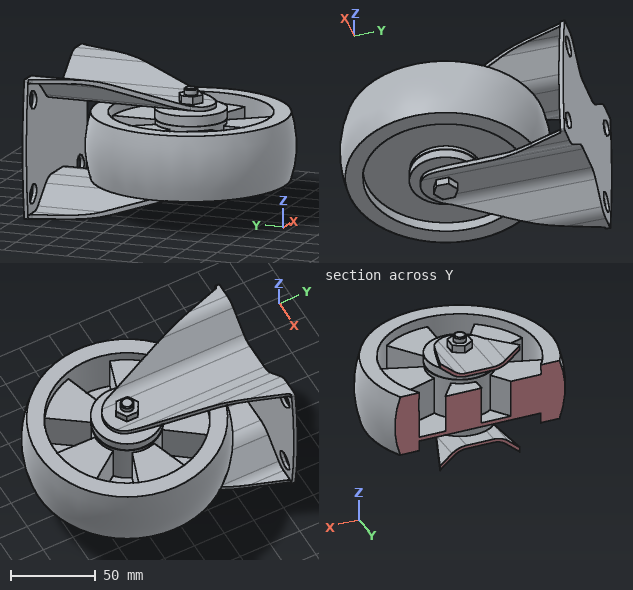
import cadquery as cq
import math


WHEEL_RADIUS = 62.5
RIM_EDGE_RADIUS = 59.4
WHEEL_WIDTH = 40.0
RECESS_RADIUS = 98.0 / 2
RECESS_DEPTH = 6.6
FLANGE_RADIUS = 43.0 / 2
FLANGE_SPAN = 45
FLANGE_THICKNESS = 6.3
HUB_RADIUS = 21.2
POCKET_COUNT = 5
POCKET_HALF_ANGLE = 17.3
POCKET_APEX_OFFSET = 2.2
WEB_THICKNESS = 3

SHEET = 2.5
OVERALL_LENGTH = 150
BRACKET_HEIGHT = 85.0
PLATE_BACK_Y = OVERALL_LENGTH - WHEEL_RADIUS
PLATE_FRONT_Y = PLATE_BACK_Y - SHEET
PLATE_MID_WIDTH = 100.0
PLATE_END_WIDTH = 94.5
PLATE_CORNER_RADIUS = 1.0
LEG_TIP_RADIUS = 15
LEG_ROOT_HALF_WIDTH = 46.2
LEG_ROOT_FILLET = 2.0
SPACER_LENGTH = 1.0
VALLEY_HALF_WIDTH = 8.8
BEND_START_X = 37.2
BEND_ANGLE = 40
SLOT_X = 38.8
SLOT_Z = 28.6
SLOT_WIDTH = 9.3
SLOT_LENGTH = 12.2
SLOT_ANGLE = 45

BOLT_DIAMETER = 8.0
BOLT_TOP_Z = 34.6
BOLT_CHAMFER = 0.8
SPACER_DIAMETER = 15
HEX_DIAMETER = 15
HEX_HEIGHT = 4.8

VALLEY_Z = FLANGE_SPAN / 2 + SPACER_LENGTH + SHEET
CREST_Z = BRACKET_HEIGHT / 2
RIM_FACE_Z = WHEEL_WIDTH / 2
SPOKE_FACE_Z = RIM_FACE_Z - RECESS_DEPTH
WEB_TOP_Z = WEB_THICKNESS - SPOKE_FACE_Z


def disc(radius, bottom_z, top_z):
    return cq.Workplane("XY").workplane(offset=bottom_z).circle(radius).extrude(top_z - bottom_z)


def make_wheel():
    flange_top = FLANGE_SPAN / 2
    flange_bottom = flange_top - FLANGE_THICKNESS
    wheel = (
        cq.Workplane("XZ")
        .moveTo(0, -flange_top)
        .lineTo(FLANGE_RADIUS, -flange_top)
        .lineTo(FLANGE_RADIUS, -flange_bottom)
        .lineTo(HUB_RADIUS, -flange_bottom)
        .lineTo(HUB_RADIUS, -SPOKE_FACE_Z)
        .lineTo(RECESS_RADIUS, -SPOKE_FACE_Z)
        .lineTo(RECESS_RADIUS, -RIM_FACE_Z)
        .lineTo(RIM_EDGE_RADIUS, -RIM_FACE_Z)
        .threePointArc((WHEEL_RADIUS, 0), (RIM_EDGE_RADIUS, RIM_FACE_Z))
        .lineTo(RECESS_RADIUS, RIM_FACE_Z)
        .lineTo(RECESS_RADIUS, WEB_TOP_Z)
        .lineTo(HUB_RADIUS, WEB_TOP_Z)
        .lineTo(HUB_RADIUS, flange_bottom)
        .lineTo(FLANGE_RADIUS, flange_bottom)
        .lineTo(FLANGE_RADIUS, flange_top)
        .lineTo(0, flange_top)
        .close()
        .revolve(360, (0, 0, 0), (0, 1, 0))
    )
    return wheel.union(make_spokes())


def make_spokes():
    spokes = disc(RECESS_RADIUS, WEB_TOP_Z, SPOKE_FACE_Z)
    wedge_half_width = (WHEEL_RADIUS - POCKET_APEX_OFFSET) * math.tan(math.radians(POCKET_HALF_ANGLE))
    wedge = (
        cq.Workplane("XY")
        .workplane(offset=WEB_TOP_Z)
        .polyline([
            (-POCKET_APEX_OFFSET, 0),
            (-WHEEL_RADIUS, wedge_half_width),
            (-WHEEL_RADIUS, -wedge_half_width),
        ])
        .close()
        .extrude(SPOKE_FACE_Z - WEB_TOP_Z)
    )
    for index in range(POCKET_COUNT):
        spokes = spokes.cut(wedge.rotate((0, 0, 0), (0, 0, 1), index * 360 / POCKET_COUNT))
    return spokes


def channel_block(inset):
    """Solid between the channelled faces of the two legs, each face moved inwards by inset."""
    angle = math.radians(BEND_ANGLE)
    run = BEND_START_X - VALLEY_HALF_WIDTH
    drop = CREST_Z - VALLEY_Z
    bend_radius = (run * math.tan(angle) - drop) / (2 * (1 / math.cos(angle) - 1))
    crest_radius = bend_radius - inset
    valley_radius = bend_radius + inset
    crest_center_z = CREST_Z - bend_radius
    valley_center_z = VALLEY_Z + bend_radius

    def on_crest(turn):
        return (BEND_START_X - crest_radius * math.sin(turn), crest_center_z + crest_radius * math.cos(turn))

    def on_valley(turn):
        return (
            VALLEY_HALF_WIDTH + valley_radius * math.sin(turn),
            valley_center_z - valley_radius * math.cos(turn),
        )

    quarter = (
        cq.Workplane("XZ", origin=(0, PLATE_BACK_Y, 0))
        .moveTo(0, 0)
        .lineTo(PLATE_MID_WIDTH, 0)
        .lineTo(PLATE_MID_WIDTH, CREST_Z - inset)
        .lineTo(*on_crest(0))
        .threePointArc(on_crest(angle / 2), on_crest(angle))
        .lineTo(*on_valley(angle))
        .threePointArc(on_valley(angle / 2), on_valley(0))
        .lineTo(0, VALLEY_Z - inset)
        .close()
        .extrude(PLATE_BACK_Y + LEG_TIP_RADIUS)
    )
    half = quarter.union(quarter.mirror("YZ"))
    return half.union(half.mirror("XY"))


def make_legs():
    reach = math.hypot(LEG_ROOT_HALF_WIDTH, PLATE_BACK_Y)
    taper = math.acos(LEG_TIP_RADIUS / reach) - math.atan2(PLATE_BACK_Y, LEG_ROOT_HALF_WIDTH)
    tangent_x = LEG_TIP_RADIUS * math.cos(taper)
    tangent_y = -LEG_TIP_RADIUS * math.sin(taper)
    outline = (
        cq.Workplane("XY")
        .workplane(offset=-CREST_Z)
        .moveTo(-LEG_ROOT_HALF_WIDTH, PLATE_BACK_Y)
        .lineTo(-tangent_x, tangent_y)
        .threePointArc((0, -LEG_TIP_RADIUS), (tangent_x, tangent_y))
        .lineTo(LEG_ROOT_HALF_WIDTH, PLATE_BACK_Y)
        .close()
        .extrude(BRACKET_HEIGHT)
    )
    return channel_block(0).cut(channel_block(SHEET)).intersect(outline)


def make_plate():
    half_end = PLATE_END_WIDTH / 2
    half_mid = PLATE_MID_WIDTH / 2
    blank = (
        cq.Workplane("XZ", origin=(0, PLATE_BACK_Y, 0))
        .moveTo(-half_end, -CREST_Z)
        .lineTo(half_end, -CREST_Z)
        .threePointArc((half_mid, 0), (half_end, CREST_Z))
        .lineTo(-half_end, CREST_Z)
        .threePointArc((-half_mid, 0), (-half_end, -CREST_Z))
        .close()
        .extrude(SHEET)
        .edges("|Y")
        .fillet(PLATE_CORNER_RADIUS)
    )
    return blank.intersect(channel_block(0))


def make_slots():
    slots = cq.Workplane("XY")
    for x_side in (-1, 1):
        for z_side in (-1, 1):
            slot = (
                cq.Workplane("XZ", origin=(x_side * SLOT_X, PLATE_BACK_Y, z_side * SLOT_Z))
                .slot2D(SLOT_LENGTH, SLOT_WIDTH, x_side * z_side * SLOT_ANGLE)
                .extrude(SHEET)
            )
            slots = slots.add(slot)
    return slots.combine()


def make_bracket():
    bracket = make_plate().union(make_legs())
    corner = cq.selectors.BoxSelector(
        (-PLATE_MID_WIDTH, PLATE_FRONT_Y - SHEET / 2, -BRACKET_HEIGHT),
        (PLATE_MID_WIDTH, PLATE_FRONT_Y + SHEET / 2, BRACKET_HEIGHT),
    )
    bracket = bracket.edges(corner).edges("|Z").fillet(LEG_ROOT_FILLET)
    return bracket.cut(make_slots())


def make_axle():
    bolt = disc(BOLT_DIAMETER / 2, -VALLEY_Z, BOLT_TOP_Z).faces(">Z").chamfer(BOLT_CHAMFER)
    spacer = disc(SPACER_DIAMETER / 2, SHEET - VALLEY_Z, VALLEY_Z - SHEET)
    nut = (
        cq.Workplane("XY")
        .workplane(offset=VALLEY_Z)
        .polygon(6, HEX_DIAMETER)
        .extrude(HEX_HEIGHT)
        .rotate((0, 0, 0), (0, 0, 1), 90)
    )
    head = nut.mirror("XY")
    return bolt.union(spacer).union(nut).union(head)


result = make_bracket().union(make_wheel()).union(make_axle())